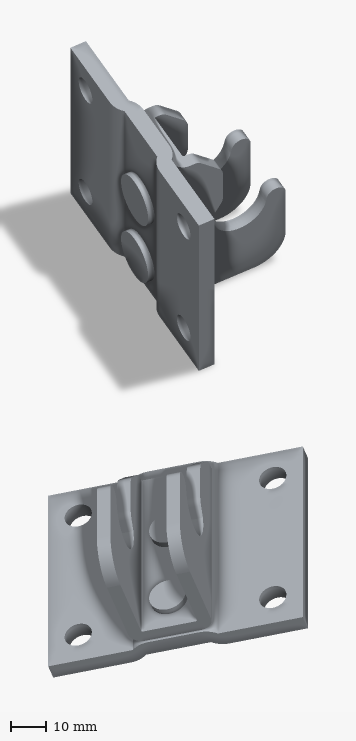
import cadquery as cq
import math


plate_width = 75.0
plate_height = 63.8
plate_thickness = 5.0
rib_offset = 2.0
rib_recess_half_width = 9.6
rib_bend_radius = plate_thickness + rib_offset
rib_back_half_width = 12.5
mount_hole_diameter = 8.0
mount_hole_spacing_x = 57.3
mount_hole_spacing_z = 44.55
mount_hole_bottom_z = 9.7

bracket_width = 24.45
sheet_thickness = 4.0
outer_bend_radius = 4.0
inner_bend_radius = 0.45
bracket_bottom_z = 0.75
bracket_top_z = 57.3
bracket_back_y = plate_thickness + rib_offset
hook_tip_y = 42.0

heel_radius = 10.0
tip_radius = 3.1
tip_center_y = hook_tip_y - tip_radius
tip_center_z = 28.35
throat_center_y = 27.2
throat_center_z = 29.25
throat_radius = 8.55
throat_lip_angle = 17.0
neck_y = 21.75
neck_corner_z = 36.0
neck_corner_radius = 4.5
chamfer_length = 7.95
chamfer_top_radius = 3.0
chamfer_side_radius = 4.0

rivet_head_diameter = 15.8
rivet_shank_diameter = 10.8
rivet_protrusion = 2.0
rivet_bottom_z = 10.9
rivet_spacing = 25.05
rivet_heights = [rivet_bottom_z, rivet_bottom_z + rivet_spacing]
rivet_end_y = bracket_back_y + sheet_thickness + rivet_protrusion


def cylinder_along_y(diameter, x, z, start_y, end_y):
    return (
        cq.Workplane("XZ", origin=(x, start_y, z))
        .circle(diameter / 2)
        .extrude(start_y - end_y)
    )


def cut_rivet_holes(body):
    for z in rivet_heights:
        body = body.cut(cylinder_along_y(rivet_shank_diameter, 0, z, 0, rivet_end_y))
    return body


def make_plate():
    half_width = plate_width / 2
    rise = rib_bend_radius - rib_offset
    bend_run = math.sqrt(rib_bend_radius**2 - rise**2)
    front_bend_x = rib_recess_half_width + bend_run
    back_flat_x = rib_back_half_width - bend_run

    mid_run = bend_run / 2
    mid_sag = rib_bend_radius - math.sqrt(rib_bend_radius**2 - mid_run**2)
    front_mid_x = front_bend_x - mid_run
    back_mid_x = back_flat_x + mid_run
    back_mid_y = bracket_back_y - mid_sag

    profile = (
        cq.Workplane("XY")
        .moveTo(-half_width, 0)
        .lineTo(-front_bend_x, 0)
        .threePointArc((-front_mid_x, mid_sag), (-rib_recess_half_width, rib_offset))
        .lineTo(rib_recess_half_width, rib_offset)
        .threePointArc((front_mid_x, mid_sag), (front_bend_x, 0))
        .lineTo(half_width, 0)
        .lineTo(half_width, plate_thickness)
        .lineTo(rib_back_half_width, plate_thickness)
        .threePointArc((back_mid_x, back_mid_y), (back_flat_x, bracket_back_y))
        .lineTo(-back_flat_x, bracket_back_y)
        .threePointArc((-back_mid_x, back_mid_y), (-rib_back_half_width, plate_thickness))
        .lineTo(-half_width, plate_thickness)
        .close()
    )
    plate = profile.extrude(plate_height)
    for x in (-mount_hole_spacing_x / 2, mount_hole_spacing_x / 2):
        for z in (mount_hole_bottom_z, mount_hole_bottom_z + mount_hole_spacing_z):
            plate = plate.cut(cylinder_along_y(mount_hole_diameter, x, z, 0, plate_thickness))
    return cut_rivet_holes(plate)


def make_channel():
    """U-shaped channel, open towards +Y, over the full bracket height."""
    depth = hook_tip_y - bracket_back_y
    height = bracket_top_z - bracket_bottom_z
    outside = (
        cq.Workplane("XY", origin=(0, bracket_back_y + depth / 2, bracket_bottom_z))
        .rect(bracket_width, depth)
        .extrude(height)
        .edges("|Z and <Y")
        .fillet(outer_bend_radius)
    )
    inside = (
        cq.Workplane("XY", origin=(0, bracket_back_y + sheet_thickness + depth / 2, bracket_bottom_z))
        .rect(bracket_width - 2 * sheet_thickness, depth)
        .extrude(height)
        .edges("|Z and <Y")
        .fillet(inner_bend_radius)
    )
    return outside.cut(inside)


def point_on_circle(center_y, center_z, radius, angle):
    return center_y + radius * math.cos(angle), center_z + radius * math.sin(angle)


def make_hook_prism():
    """Side outline of the hooks, extruded across the bracket width."""
    center_gap_y = tip_center_y - throat_center_y
    center_gap_z = tip_center_z - throat_center_z
    center_distance = math.hypot(center_gap_y, center_gap_z)
    center_line_angle = math.atan2(center_gap_z, center_gap_y)
    tangent_angle = center_line_angle - math.acos((throat_radius + tip_radius) / center_distance)
    lip_angle = math.pi - math.radians(throat_lip_angle)

    def on_throat(angle):
        return point_on_circle(throat_center_y, throat_center_z, throat_radius, angle)

    tip_tangent = point_on_circle(tip_center_y, tip_center_z, tip_radius, tangent_angle + math.pi)
    chamfer_corner_y = neck_y - chamfer_length
    chamfer_corner_z = bracket_top_z - chamfer_length
    prism = (
        cq.Workplane("YZ", origin=(-bracket_width / 2, 0, 0))
        .moveTo(bracket_back_y, bracket_bottom_z)
        .lineTo(hook_tip_y, bracket_bottom_z)
        .lineTo(hook_tip_y, tip_center_z)
        .threePointArc((tip_center_y, tip_center_z + tip_radius), tip_tangent)
        .lineTo(*on_throat(tangent_angle))
        .threePointArc(on_throat(-math.pi / 2), on_throat(lip_angle))
        .lineTo(neck_y, neck_corner_z)
        .lineTo(neck_y, chamfer_corner_z)
        .lineTo(chamfer_corner_y, bracket_top_z)
        .lineTo(bracket_back_y, bracket_top_z)
        .close()
        .extrude(bracket_width)
    )
    rounded_corners = [
        (hook_tip_y, bracket_bottom_z, heel_radius),
        (neck_y, neck_corner_z, neck_corner_radius),
        (neck_y, chamfer_corner_z, chamfer_side_radius),
        (chamfer_corner_y, bracket_top_z, chamfer_top_radius),
    ]
    for y, z, radius in rounded_corners:
        corner_edge = cq.selectors.NearestToPointSelector((0, y, z))
        prism = prism.edges("|X").edges(corner_edge).fillet(radius)
    return prism


def make_bracket():
    return cut_rivet_holes(make_channel().intersect(make_hook_prism()))


def make_rivet(z):
    """Rivet with its head in the plate recess and its shank through plate and bracket."""
    head = cylinder_along_y(rivet_head_diameter, 0, z, 0, rib_offset)
    shank = cylinder_along_y(rivet_shank_diameter, 0, z, rib_offset, rivet_end_y)
    return head.union(shank)


plate = make_plate()
bracket = make_bracket()
rivets = [make_rivet(z) for z in rivet_heights]

result = cq.Compound.makeCompound(
    [plate.solids().val(), bracket.solids().val(), *[rivet.solids().val() for rivet in rivets]]
)